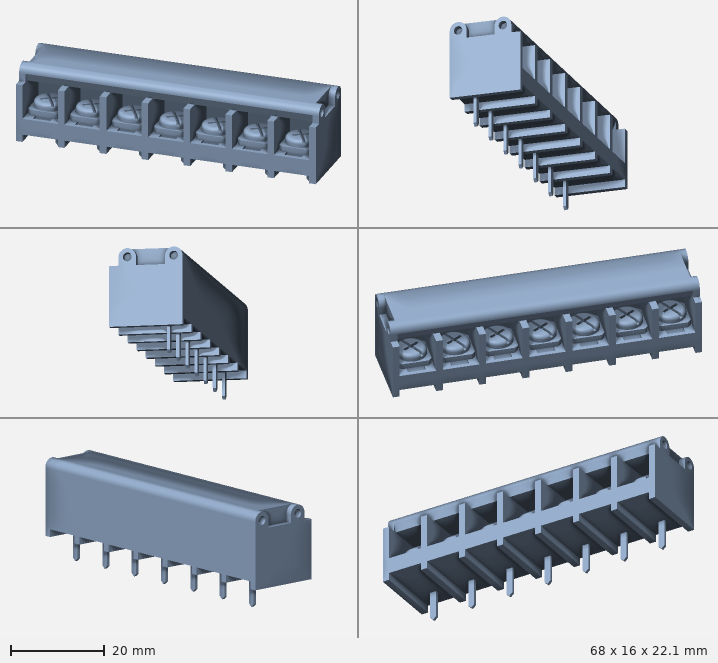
import cadquery as cq

length = 68.0
depth = 16.0
body_height = 16.9
wall = 1.5
bay_count = 7
pitch = (length - wall) / bay_count
bay_width = pitch - wall
bay_centres = [(index - (bay_count - 1) / 2) * pitch for index in range(bay_count)]

foot_height = 1.7
floor_level = 5.4
shoulder_drop = 3.75
shoulder_level = body_height - shoulder_drop

shoulder_depth = 2.05
bay_depth = 10.2

lug_radius = 1.9
lug_hole_diameter = 1.9
hinge_level = body_height - lug_radius
front_hinge_y = shoulder_depth + lug_radius
back_hinge_y = depth - lug_radius
cover_taper = 0.75

plate_width = 7.6
plate_height = 1.3
plate_chamfer = 0.8
plate_front_y = 2.3
plate_centre_y = plate_front_y + plate_width / 2
head_diameter = 6.9
head_height = 1.6
head_round = 0.9
slot_width = 0.7
slot_depth = 0.9
cross_slot_length = 4.1
slot_angle = 30.0
recess_width = 3.95
recess_front_y = 0.95
recess_depth = 0.4

pin_width = 1.5
pin_thickness = 0.7
pin_length = 5.2
pin_tip = 0.7
pin_back_distance = 4.0
pin_y = depth - pin_back_distance


def box(x_size, y_size, z_size, x, y, z):
    """Box centred on x, starting at y and z."""
    return cq.Workplane("XY").box(x_size, y_size, z_size, centered=(True, False, False)).translate((x, y, z))


def along_x(profile, x_start, x_length):
    """Extrude a YZ profile along +X from x_start."""
    return profile.extrude(x_length).translate((x_start, 0, 0))


def housing():
    """Lower block with the open bays and the gaps between the feet."""
    block = box(length, depth, shoulder_level, 0, 0, 0)
    for x in bay_centres:
        block = block.cut(box(bay_width, bay_depth, shoulder_level - floor_level, x, 0, floor_level))
        block = block.cut(box(bay_width, depth, foot_height, x, 0, 0))
    return block


def cover():
    """Lid between the end walls: rounded upper edges and a tapered front underside."""
    profile = (
        cq.Workplane("YZ")
        .moveTo(shoulder_depth + cover_taper, shoulder_level)
        .lineTo(shoulder_depth, hinge_level)
        .radiusArc((front_hinge_y, body_height), lug_radius)
        .lineTo(back_hinge_y, body_height)
        .radiusArc((depth, hinge_level), lug_radius)
        .lineTo(depth, shoulder_level)
        .close()
    )
    return along_x(profile, wall - length / 2, length - 2 * wall)


def lug(hinge_y, x_start):
    """Round-topped hinge lug on an end wall, with its pivot hole."""
    profile = (
        cq.Workplane("YZ")
        .moveTo(hinge_y - lug_radius, shoulder_level)
        .lineTo(hinge_y - lug_radius, hinge_level)
        .threePointArc((hinge_y, body_height), (hinge_y + lug_radius, hinge_level))
        .lineTo(hinge_y + lug_radius, shoulder_level)
        .close()
    )
    hole = cq.Workplane("YZ").center(hinge_y, hinge_level).circle(lug_hole_diameter / 2)
    return along_x(profile, x_start, wall).cut(along_x(hole, x_start, wall))


def terminal(x):
    """Square clamping plate with a cross-slotted screw head on top."""
    plate = box(plate_width, plate_width, plate_height, x, plate_front_y, floor_level)
    plate = plate.edges("|Z").chamfer(plate_chamfer)
    head_level = floor_level + plate_height
    head = cq.Workplane("XY").circle(head_diameter / 2).extrude(head_height)
    head = head.faces(">Z").edges().fillet(head_round)
    for slot_length, angle in ((head_diameter, slot_angle), (cross_slot_length, slot_angle + 90)):
        slot = box(slot_width, slot_length, slot_depth, 0, -slot_length / 2, head_height - slot_depth)
        head = head.cut(slot.rotate((0, 0, 0), (0, 0, 1), angle))
    return plate.union(head.translate((x, plate_centre_y, head_level)))


def floor_recess(x):
    """Shallow pocket in the bay floor, running back under the middle of the plate."""
    recess_length = plate_centre_y - recess_front_y
    return box(recess_width, recess_length, recess_depth, x, recess_front_y, floor_level - recess_depth)


def pin(x):
    """Flat solder pin with a pointed end."""
    half = pin_width / 2
    outline = [
        (-half, foot_height),
        (-half, pin_tip - pin_length),
        (0, -pin_length),
        (half, pin_tip - pin_length),
        (half, foot_height),
    ]
    blade = cq.Workplane("XZ").polyline(outline).close().extrude(pin_thickness / 2, both=True)
    return blade.translate((x, pin_y, 0))


result = housing().union(cover())
for hinge_y in (front_hinge_y, back_hinge_y):
    for x_start in (-length / 2, length / 2 - wall):
        result = result.union(lug(hinge_y, x_start))
for x in bay_centres:
    result = result.cut(floor_recess(x)).union(terminal(x)).union(pin(x))